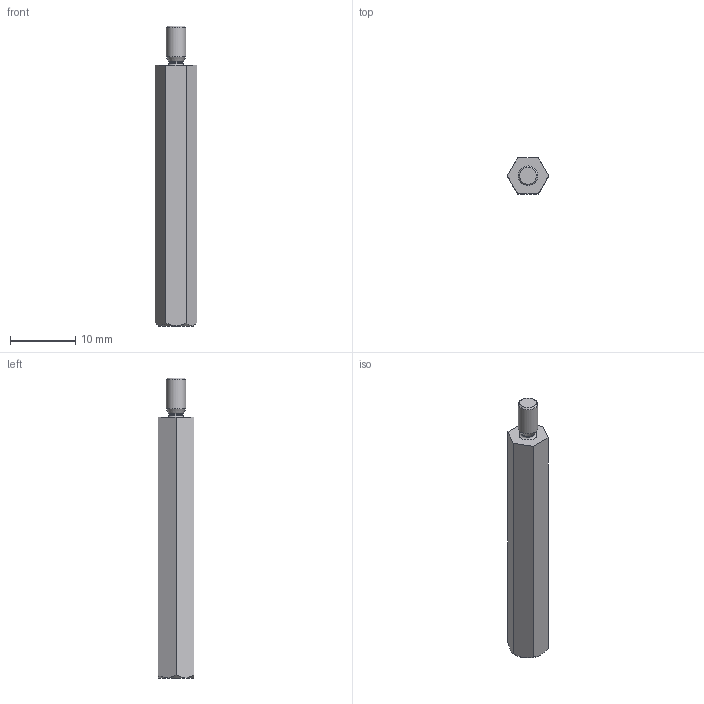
import cadquery as cq
import math

ACROSS_FLATS = 5.5
BODY_LENGTH = 40.0
HEX_SIDES = 6
ACROSS_CORNERS = ACROSS_FLATS / math.cos(math.pi / HEX_SIDES)
FOOT_DIAMETER = 5.4

STUD_DIAMETER = 3.0
STUD_LENGTH = 6.0
STUD_TIP_DIAMETER = 2.6

NECK_DIAMETER = 2.13
NECK_FILLET = 0.3
UNDERCUT_LENGTH = 1.25
SHOULDER_HALF_ANGLE = math.radians(30)


def revolve_about_z(profile):
    """Turn a closed half profile in the XZ plane a full turn about the Z axis."""
    return profile.revolve(360, (0, 0), (0, 1))


def hex_body():
    """Hexagonal bar with two corners on the X axis and a conical foot chamfer."""
    bar = cq.Workplane("XY").polygon(HEX_SIDES, ACROSS_CORNERS).extrude(BODY_LENGTH)
    foot_radius = FOOT_DIAMETER / 2
    corner_radius = ACROSS_CORNERS / 2
    chamfer_height = corner_radius - foot_radius
    envelope_profile = (
        cq.Workplane("XZ")
        .lineTo(foot_radius, 0)
        .lineTo(corner_radius, chamfer_height)
        .lineTo(corner_radius, BODY_LENGTH)
        .lineTo(0, BODY_LENGTH)
        .close()
    )
    return bar.intersect(revolve_about_z(envelope_profile))


def stud():
    """Round stud with a chamfered tip, a conical shoulder and a filleted neck."""
    stud_radius = STUD_DIAMETER / 2
    neck_radius = NECK_DIAMETER / 2
    tip_radius = STUD_TIP_DIAMETER / 2
    shoulder_top = BODY_LENGTH + UNDERCUT_LENGTH
    shoulder_bottom = shoulder_top - (stud_radius - neck_radius) / math.tan(SHOULDER_HALF_ANGLE)
    tangent_length = NECK_FILLET * math.tan(SHOULDER_HALF_ANGLE / 2)
    tip = BODY_LENGTH + STUD_LENGTH
    tip_chamfer_height = stud_radius - tip_radius
    arc_middle = NECK_FILLET * (1 - math.sqrt(0.5))
    profile = (
        cq.Workplane("XZ")
        .moveTo(0, BODY_LENGTH)
        .lineTo(neck_radius + NECK_FILLET, BODY_LENGTH)
        .threePointArc(
            (neck_radius + arc_middle, BODY_LENGTH + arc_middle),
            (neck_radius, BODY_LENGTH + NECK_FILLET),
        )
        .lineTo(neck_radius, shoulder_bottom - tangent_length)
        .tangentArcPoint(
            (
                neck_radius + tangent_length * math.sin(SHOULDER_HALF_ANGLE),
                shoulder_bottom + tangent_length * math.cos(SHOULDER_HALF_ANGLE),
            ),
            relative=False,
        )
        .lineTo(stud_radius, shoulder_top)
        .lineTo(stud_radius, tip - tip_chamfer_height)
        .lineTo(tip_radius, tip)
        .lineTo(0, tip)
        .close()
    )
    return revolve_about_z(profile)


result = hex_body().union(stud())